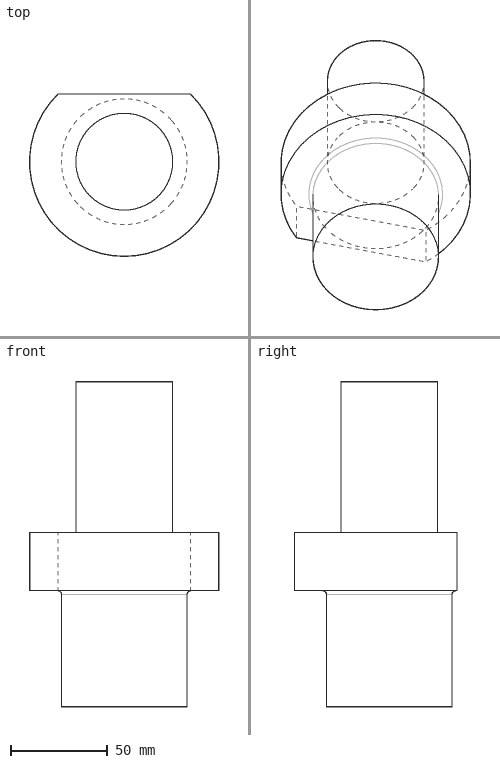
import cadquery as cq

total_height = 168.0
shank_diameter = 65.0
shank_height = 60.0
flange_diameter = 98.0
flange_thickness = 30.0
flange_depth = 84.0
pin_diameter = 50.0
root_fillet = 2.0

flange_top = shank_height + flange_thickness
pin_height = total_height - flange_top
flat_y = flange_depth - flange_diameter / 2


def cylinder(diameter, base_z, height):
    """Upright cylinder centred on the Z axis."""
    return cq.Workplane("XY").workplane(offset=base_z).circle(diameter / 2).extrude(height)


flange = cylinder(flange_diameter, shank_height, flange_thickness)
flat_cutter = (
    cq.Workplane("XY")
    .box(flange_diameter, flange_diameter, flange_thickness, centered=(True, False, False))
    .translate((0, flat_y, shank_height))
)
flange = flange.cut(flat_cutter)

shank = cylinder(shank_diameter, 0, shank_height)
shank_and_flange = shank.union(flange)
root_edge = cq.selectors.NearestToPointSelector((0, 0, shank_height))
shank_and_flange = shank_and_flange.edges(root_edge).fillet(root_fillet)

pin = cylinder(pin_diameter, flange_top, pin_height)

result = shank_and_flange.union(pin)